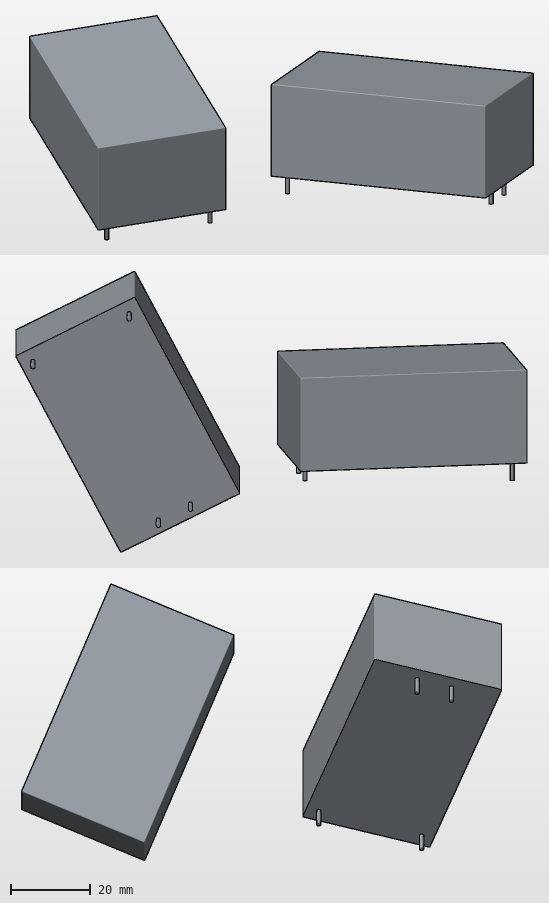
import cadquery as cq

case_length = 57.5
case_width = 33.5
case_height = 23.85
edge_radius = 0.25

pin_diameter = 1.1
pin_length = 4.95
pin_tip_radius = 0.1
pin_row_x = 25.55
pin_pitch = 9.0
inner_pin_y = pin_pitch / 2
outer_pin_y = 3 * inner_pin_y


def make_case():
    """Block on the XY plane with rounded vertical and top edges."""
    block = cq.Workplane("XY").box(case_length, case_width, case_height, centered=(True, True, False))
    return block.edges("|Z or >Z").fillet(edge_radius)


def make_pins(row_x, offset_y):
    """Pair of round-tipped pins below the case, symmetric about the XZ plane."""
    return (
        cq.Workplane("XY")
        .pushPoints([(row_x, -offset_y), (row_x, offset_y)])
        .circle(pin_diameter / 2)
        .extrude(-pin_length)
        .faces("<Z")
        .edges()
        .fillet(pin_tip_radius)
    )


inner_pins = make_pins(-pin_row_x, inner_pin_y)
outer_pins = make_pins(pin_row_x, outer_pin_y)
result = make_case().union(inner_pins).union(outer_pins)